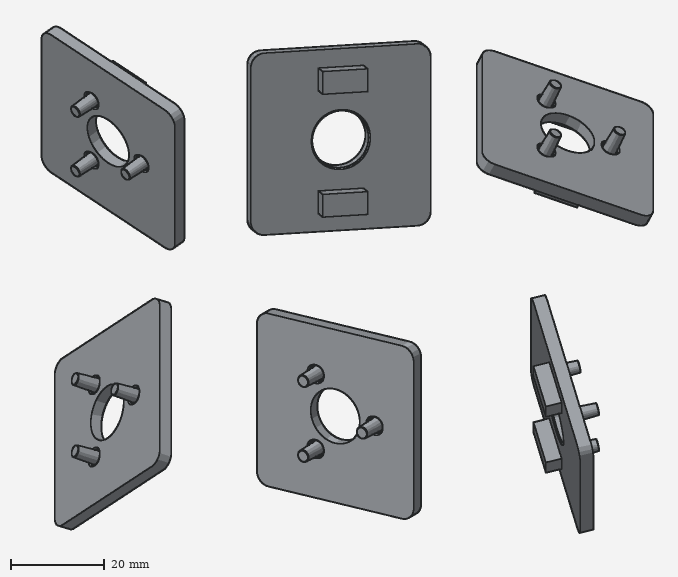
import cadquery as cq
import math

plate_side = 40.0
plate_thickness = 3.0
corner_radius = 3.0
bore_diameter = 12.5
bore_back_chamfer = 0.3

pin_count = 3
pin_circle_radius = 10.0
pin_length = 5.0
pin_tip_radius = 1.35
pin_tip_chamfer = 0.1
pin_root_radius = 1.6
recess_mouth_radius = 2.15
recess_radius = 1.85
recess_depth = 1.0

block_width = 10.0
block_height = 5.0
block_depth = 3.5
block_outer_edge = 16.0


def make_plate():
    plate = cq.Workplane("XY").box(plate_side, plate_thickness, plate_side)
    plate = plate.edges("|Y").fillet(corner_radius)
    plate = plate.faces("<Y").workplane().hole(bore_diameter)
    plate = plate.faces(">Y").edges("%CIRCLE").edges(cq.selectors.RadiusNthSelector(-1))
    plate = plate.chamfer(bore_back_chamfer)
    return plate.translate((0, plate_thickness / 2, 0))


def make_block(direction):
    block_center = direction * (block_outer_edge - block_height / 2)
    return cq.Workplane("XY").box(block_width, block_depth, block_height).translate(
        (0, plate_thickness + block_depth / 2, block_center)
    )


def revolve_about_y(points):
    """Turn a closed (radius, Y) outline around the Y axis."""
    return cq.Workplane("XY").polyline(points).close().revolve(360, (0, 0), (0, 1))


def make_recess():
    recess_profile = [
        (0, 0),
        (recess_mouth_radius, 0),
        (recess_radius, recess_mouth_radius - recess_radius),
        (recess_radius, recess_depth),
        (0, recess_depth),
    ]
    return revolve_about_y(recess_profile)


def make_pin():
    pin_profile = [
        (0, recess_depth),
        (pin_root_radius, recess_depth),
        (pin_tip_radius, pin_tip_chamfer - pin_length),
        (pin_tip_radius - pin_tip_chamfer, -pin_length),
        (0, -pin_length),
    ]
    return revolve_about_y(pin_profile)


result = make_plate()
for direction in (-1, 1):
    result = result.union(make_block(direction))

for index in range(pin_count):
    angle = 2 * math.pi * index / pin_count
    place = (pin_circle_radius * math.cos(angle), 0, pin_circle_radius * math.sin(angle))
    result = result.cut(make_recess().translate(place)).union(make_pin().translate(place))